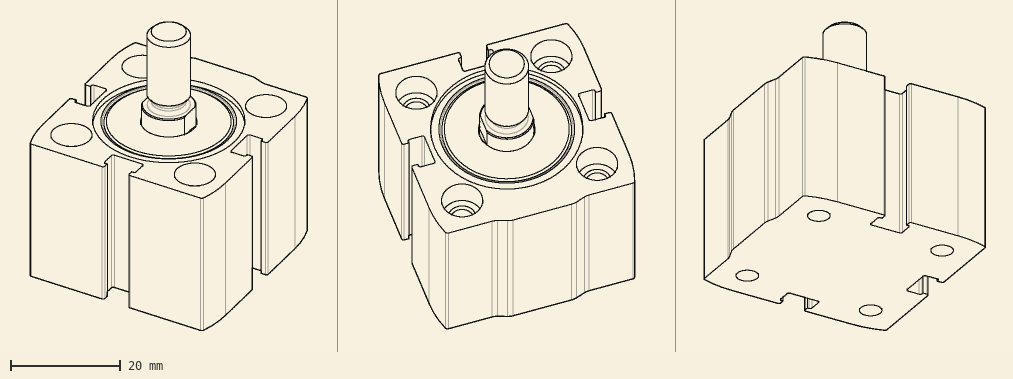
import cadquery as cq
import math

overall_height = 48.5
housing_height = 29.0
half_width = 19.25
flank_radius = 19.4
flank_start = 12.75
corner_fillet = 0.5

pad_rise = 0.95
pad_half_width = 6.15
pad_slope_run = 2.65
pad_fillet = 2.9

slot_mouth_width = 5.15
slot_inner_width = 6.6
slot_lip = 1.25
slot_depth = 4.4
slot_fillet = 0.4
slot_mouth_fillet = 0.365

mount_pitch = 26.0
mount_diameter = 4.1
mount_counterbore_diameter = 7.5
mount_counterbore_depth = 5.0
mount_mouth_diameter = 5.05

cover_bore_diameter = 27.8
cover_crest_diameter = 24.8
cover_face_depth = 0.2
cover_rim_depth = 1.15
cover_centre_radius = 11.4
groove_outer_radius = 12.12
groove_outer_depth = 0.3
groove_floor_radius = 11.85
groove_floor_depth = 0.5

rod_diameter = 10.0
rod_insertion = 2.9
rod_mouth_diameter = 10.3
rod_mouth_depth = 0.95
flat_slope_height = 0.35
collar_height = 3.5
collar_chamfer = 0.2
flat_width = 9.0
neck_diameter = 6.4
neck_fillet = 0.75
stud_diameter = 8.0
stud_start = 5.85
stud_tip_diameter = 6.4
stud_chamfer = (stud_diameter - stud_tip_diameter) / 2


def vertical_edges_at(points):
    """Selector for the full-height vertical edges that stand on the given points."""
    reach = 0.05
    selector = None
    for x, y in points:
        box = cq.selectors.BoxSelector(
            (x - reach, y - reach, 0), (x + reach, y + reach, housing_height)
        )
        selector = box if selector is None else selector + box
    return selector


def housing_block():
    """Extruded outline with bulged flanks and the raised pad on +Y."""
    flank_rise = half_width - flank_start
    corner_x = half_width - flank_radius + math.sqrt(flank_radius**2 - flank_rise**2)
    mid_rise = flank_rise / 2
    mid_x = half_width - flank_radius + math.sqrt(flank_radius**2 - mid_rise**2)
    mid_y = flank_start + mid_rise
    pad_y = half_width + pad_rise
    pad_foot = pad_half_width + pad_slope_run
    block = (
        cq.Workplane("XY")
        .moveTo(-corner_x, -half_width)
        .lineTo(corner_x, -half_width)
        .threePointArc((mid_x, -mid_y), (half_width, -flank_start))
        .lineTo(half_width, flank_start)
        .threePointArc((mid_x, mid_y), (corner_x, half_width))
        .lineTo(pad_foot, half_width)
        .lineTo(pad_half_width, pad_y)
        .lineTo(-pad_half_width, pad_y)
        .lineTo(-pad_foot, half_width)
        .lineTo(-corner_x, half_width)
        .threePointArc((-mid_x, mid_y), (-half_width, flank_start))
        .lineTo(-half_width, -flank_start)
        .threePointArc((-mid_x, -mid_y), (-corner_x, -half_width))
        .close()
        .extrude(housing_height)
    )
    corners = [(x, y) for x in (-corner_x, corner_x) for y in (-half_width, half_width)]
    pad_edges = [(side * pad_foot, half_width) for side in (-1, 1)]
    pad_edges += [(side * pad_half_width, pad_y) for side in (-1, 1)]
    block = block.edges(vertical_edges_at(corners)).fillet(corner_fillet)
    return block.edges(vertical_edges_at(pad_edges)).fillet(pad_fillet)


def slot_cutter(angle):
    """T-slot along the full height, opened through the -Y face and turned about Z."""
    mouth = cq.Workplane("XY").box(
        slot_mouth_width, slot_depth, housing_height, centered=(True, False, False)
    )
    chamber = (
        cq.Workplane("XY")
        .box(slot_inner_width, slot_depth - slot_lip, housing_height, centered=(True, False, False))
        .edges("|Z")
        .fillet(slot_fillet)
        .translate((0, slot_lip, 0))
    )
    return mouth.union(chamber).translate((0, -half_width, 0)).rotate((0, 0, 0), (0, 0, 1), angle)


def revolve_about_z(points):
    """Solid of revolution from a closed (radius, height) outline."""
    return cq.Workplane("XZ").polyline(points).close().revolve(360, (0, 0, 0), (0, 1, 0))


def mount_hole_cutter():
    """Through hole with a countersunk edge below a flat counterbore."""
    hole = mount_diameter / 2
    mouth = mount_mouth_diameter / 2
    counterbore = mount_counterbore_diameter / 2
    floor = housing_height - mount_counterbore_depth
    return revolve_about_z([
        (0, 0),
        (hole, 0),
        (hole, floor - (mouth - hole)),
        (mouth, floor),
        (counterbore, floor),
        (counterbore, housing_height),
        (0, housing_height),
    ])


def cover_face_cutter():
    """Space above the cover: flat centre, ring groove, crest and sloped rim."""
    bore = cover_bore_diameter / 2
    return revolve_about_z([
        (0, housing_height),
        (0, housing_height - cover_face_depth),
        (cover_centre_radius, housing_height - cover_face_depth),
        (groove_floor_radius, housing_height - groove_floor_depth),
        (groove_outer_radius, housing_height - groove_outer_depth),
        (cover_crest_diameter / 2, housing_height - cover_face_depth),
        (bore, housing_height - cover_rim_depth),
        (bore, housing_height),
    ])


def rod_hole_cutter():
    """Blind hole that fits the rod, with a wider mouth."""
    rod = rod_diameter / 2
    mouth = rod_mouth_diameter / 2
    ledge = housing_height - rod_mouth_depth
    bottom = housing_height - rod_insertion
    return revolve_about_z([
        (0, bottom),
        (rod, bottom),
        (rod, ledge),
        (mouth, ledge),
        (mouth, housing_height),
        (0, housing_height),
    ])


def round_slot_mouths(housing):
    """Fillet the outer edges of every slot mouth."""
    mouth = slot_mouth_width / 2
    mouth_edges = [(side * mouth, -half_width) for side in (-1, 1)]
    mouth_edges += [(end * half_width, side * mouth) for end in (-1, 1) for side in (-1, 1)]
    return housing.edges(vertical_edges_at(mouth_edges)).fillet(slot_mouth_fillet)


def make_housing():
    """Complete housing with its end cover."""
    housing = housing_block()
    for angle in (-90, 0, 90):
        housing = housing.cut(slot_cutter(angle))
    housing = round_slot_mouths(housing)
    mount_hole = mount_hole_cutter()
    for side_x in (-1, 1):
        for side_y in (-1, 1):
            place = (side_x * mount_pitch / 2, side_y * mount_pitch / 2, 0)
            housing = housing.cut(mount_hole.translate(place))
    return housing.cut(cover_face_cutter()).cut(rod_hole_cutter())


def rod_body():
    """Turned rod: collar, filleted neck and chamfered stud."""
    rod = rod_diameter / 2
    neck = neck_diameter / 2
    stud = stud_diameter / 2
    bottom = housing_height - rod_insertion
    collar_top = housing_height + collar_height
    stud_bottom = housing_height + stud_start
    diagonal = math.sqrt(0.5)
    lower_centre = (neck + neck_fillet, collar_top + neck_fillet)
    cone_radius = neck + neck_fillet * (1 - diagonal)
    cone_bottom = stud_bottom - (stud - cone_radius)
    upper_centre = (neck + neck_fillet, cone_bottom - neck_fillet * diagonal)
    upper_mid = (
        upper_centre[0] - neck_fillet * math.cos(math.pi / 8),
        upper_centre[1] + neck_fillet * math.sin(math.pi / 8),
    )
    return (
        cq.Workplane("XZ")
        .moveTo(0, bottom)
        .lineTo(rod, bottom)
        .lineTo(rod, collar_top - collar_chamfer)
        .lineTo(rod - collar_chamfer, collar_top)
        .lineTo(lower_centre[0], collar_top)
        .threePointArc(
            (lower_centre[0] - neck_fillet * diagonal, lower_centre[1] - neck_fillet * diagonal),
            (neck, lower_centre[1]),
        )
        .lineTo(neck, upper_centre[1])
        .threePointArc(upper_mid, (cone_radius, cone_bottom))
        .lineTo(stud, stud_bottom)
        .lineTo(stud, overall_height - stud_chamfer)
        .lineTo(stud - stud_chamfer, overall_height)
        .lineTo(0, overall_height)
        .close()
        .revolve(360, (0, 0, 0), (0, 1, 0))
    )


def wrench_flat_cutter():
    """Material outside the two flats, ending at a cone inside the mouth of the cover."""
    flat = flat_width / 2
    rod = rod_diameter / 2
    reach = 2 * rod
    slope_bottom = housing_height - rod_mouth_depth
    cutter_height = rod_mouth_depth + collar_height
    blank = cq.Workplane("XY").box(reach * 2, reach * 2, cutter_height, centered=(True, True, False))
    keep = cq.Workplane("XY").box(flat_width, reach * 2, cutter_height, centered=(True, True, False))
    slope = revolve_about_z([(0, 0), (rod, 0), (flat, flat_slope_height), (0, flat_slope_height)])
    return blank.cut(keep).cut(slope).translate((0, 0, slope_bottom))


def make_rod():
    """Piston rod with its two wrench flats."""
    return rod_body().cut(wrench_flat_cutter())


housing = make_housing()
piston_rod = make_rod()

result = cq.Compound.makeCompound([housing.val(), piston_rod.val()])